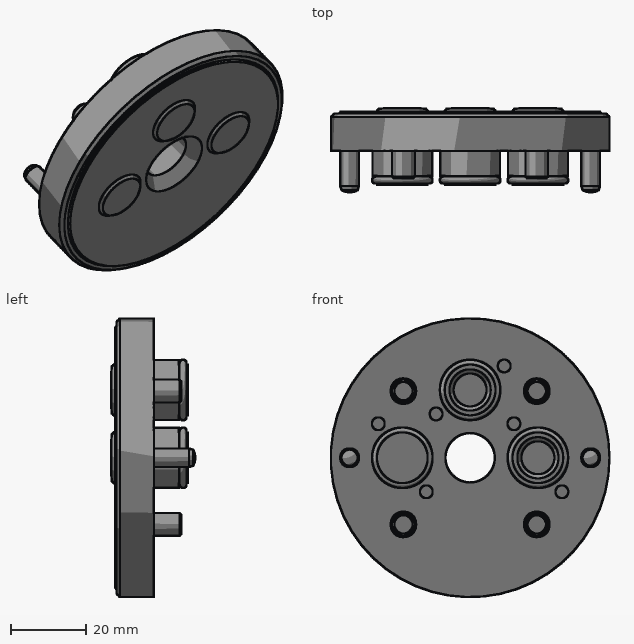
import cadquery as cq
import math


PLATE_RADIUS = 37.0
RIM_HEIGHT = 8.95
SHOULDER_HEIGHT = 9.9
PLATE_THICKNESS = 10.35
STEP_RADIUS = 34.85
BORE_RADIUS = 6.5
BORE_LENGTH = 6.95
FLARE_RADIUS = 9.25

BOSS_OFFSET = 18.0
BOSS_RADIUS = 8.0
BOSS_LENGTH = 6.65
NECK_RADIUS = 6.7
NECK_LENGTH = 9.1
RING_SECTION_RADIUS = 0.95
RING_CENTER_RADIUS = 7.1
RING_DEPTH = 7.8
RECESS_RADIUS = 5.5
RECESS_FLOOR_RADIUS = 4.4
RECESS_DEPTH = 1.5

CAP_BASE_RADIUS = 6.95
CAP_EDGE_RADIUS = 6.2
CAP_EDGE_HEIGHT = 11.2
CAP_TOP_RADIUS = 4.45
CAP_TOP_HEIGHT = 11.3

PIN_OFFSET = 17.7
PIN_RADIUS = 3.0
PIN_LENGTH = 7.4
PIN_CHAMFER = 0.6
POCKET_RADIUS = 3.4
POCKET_DEPTH = 0.5

DOWEL_OFFSET = 32.0
DOWEL_RADIUS = 2.5
DOWEL_SHANK_LENGTH = 9.3
DOWEL_TIP_RADIUS = 2.15
DOWEL_TIP_LENGTH = 10.4
DOWEL_LENGTH = 11.0

SMALL_HOLE_RADIUS = 1.7
SMALL_HOLE_DEPTH = 0.5
SMALL_HOLE_LONG_OFFSET = 9.0
SMALL_HOLE_SHORT_OFFSET = 6.4

LEFT_BOSS = (-BOSS_OFFSET, 0)
TOP_BOSS = (0, BOSS_OFFSET)
RIGHT_BOSS = (BOSS_OFFSET, 0)
BOSS_CENTERS = [LEFT_BOSS, TOP_BOSS, RIGHT_BOSS]
OPEN_BOSS_CENTERS = [TOP_BOSS, RIGHT_BOSS]
PIN_CENTERS = [(x, z) for x in (-PIN_OFFSET, PIN_OFFSET) for z in (-PIN_OFFSET, PIN_OFFSET)]
DOWEL_CENTERS = [(-DOWEL_OFFSET, 0), (DOWEL_OFFSET, 0)]


def turn(profile):
    """Revolve a closed profile about the Y axis."""
    return profile.close().revolve(360, (0, 0, 0), (0, 1, 0))


def place(body, center):
    """Move a body from the Y axis to the given (x, z) center."""
    return body.translate((center[0], 0, center[1]))


def rod(radius, y_start, y_end):
    """Cylinder along Y between two heights."""
    return turn(cq.Workplane("XY").polyline([(0, y_start), (radius, y_start), (radius, y_end), (0, y_end)]))


def make_plate():
    shoulder_radius = PLATE_RADIUS - (SHOULDER_HEIGHT - RIM_HEIGHT)
    step_top_radius = STEP_RADIUS - (PLATE_THICKNESS - SHOULDER_HEIGHT)
    outline = [
        (BORE_RADIUS, 0),
        (PLATE_RADIUS, 0),
        (PLATE_RADIUS, RIM_HEIGHT),
        (shoulder_radius, SHOULDER_HEIGHT),
        (STEP_RADIUS, SHOULDER_HEIGHT),
        (step_top_radius, PLATE_THICKNESS),
        (FLARE_RADIUS, PLATE_THICKNESS),
        (BORE_RADIUS, BORE_LENGTH),
    ]
    return turn(cq.Workplane("XY").polyline(outline))


def make_boss():
    body = rod(BOSS_RADIUS, 0, -BOSS_LENGTH)
    neck = rod(NECK_RADIUS, 0, -NECK_LENGTH)
    ring_section = cq.Workplane("XY").center(-RING_CENTER_RADIUS, -RING_DEPTH).circle(RING_SECTION_RADIUS)
    ring = ring_section.revolve(360, (RING_CENTER_RADIUS, 0, 0), (RING_CENTER_RADIUS, 1, 0))
    return body.union(neck).union(ring)


def make_recess():
    floor = -NECK_LENGTH + RECESS_DEPTH
    outline = [(0, -NECK_LENGTH), (RECESS_RADIUS, -NECK_LENGTH), (RECESS_FLOOR_RADIUS, floor), (0, floor)]
    return turn(cq.Workplane("XY").polyline(outline))


def make_cap():
    outline = [
        (0, SHOULDER_HEIGHT),
        (CAP_BASE_RADIUS, SHOULDER_HEIGHT),
        (CAP_BASE_RADIUS, PLATE_THICKNESS),
        (CAP_EDGE_RADIUS, CAP_EDGE_HEIGHT),
        (CAP_TOP_RADIUS, CAP_TOP_HEIGHT),
        (0, CAP_TOP_HEIGHT),
    ]
    return turn(cq.Workplane("XY").polyline(outline))


def make_pin():
    return rod(PIN_RADIUS, POCKET_DEPTH, -PIN_LENGTH).faces("<Y").chamfer(PIN_CHAMFER)


def make_dowel():
    dome_height = DOWEL_LENGTH - DOWEL_TIP_LENGTH
    dome_radius = (DOWEL_TIP_RADIUS**2 + dome_height**2) / (2 * dome_height)
    half_angle = math.asin(DOWEL_TIP_RADIUS / dome_radius) / 2
    dome_middle = (
        dome_radius * math.sin(half_angle),
        -DOWEL_LENGTH + dome_radius * (1 - math.cos(half_angle)),
    )
    profile = (
        cq.Workplane("XY")
        .moveTo(0, 0)
        .lineTo(DOWEL_RADIUS, 0)
        .lineTo(DOWEL_RADIUS, -DOWEL_SHANK_LENGTH)
        .lineTo(DOWEL_TIP_RADIUS, -DOWEL_TIP_LENGTH)
        .threePointArc(dome_middle, (0, -DOWEL_LENGTH))
    )
    return turn(profile)


def small_hole_centers():
    """The pairs at the side bosses are the top pair given a quarter turn about their boss."""
    long = SMALL_HOLE_LONG_OFFSET
    short = SMALL_HOLE_SHORT_OFFSET
    centers = []
    for side in (1, -1):
        centers.append((TOP_BOSS[0] + side * long, TOP_BOSS[1] + side * short))
        for boss in (LEFT_BOSS, RIGHT_BOSS):
            centers.append((boss[0] - side * short, boss[1] + side * long))
    return centers


result = make_plate()

for center in PIN_CENTERS:
    result = result.cut(place(rod(POCKET_RADIUS, 0, POCKET_DEPTH), center))
    result = result.union(place(make_pin(), center))

for center in small_hole_centers():
    result = result.cut(place(rod(SMALL_HOLE_RADIUS, 0, SMALL_HOLE_DEPTH), center))

for center in BOSS_CENTERS:
    result = result.union(place(make_boss(), center))
    result = result.union(place(make_cap(), center))

for center in OPEN_BOSS_CENTERS:
    result = result.cut(place(make_recess(), center))

for center in DOWEL_CENTERS:
    result = result.union(place(make_dowel(), center))